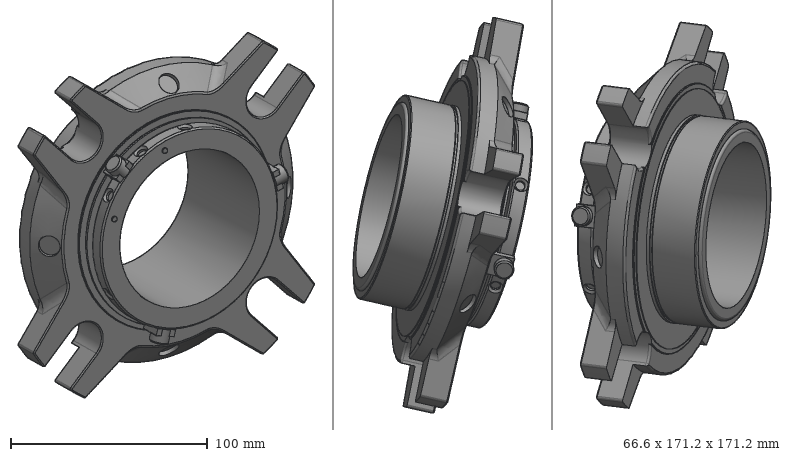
import cadquery as cq
import math

BORE_R = 84.99 / 2
SLEEVE_R = 88.88 / 2

NOSE_R = 98.4 / 2
NOSE_FILLET = 1.5
BARREL_R = 106.35 / 2
BARREL_START_X = 1.6
BARREL_END_X = 25.6
BARREL_CHAMFER = 0.5
RELIEF_R = 52.5
NECK_R = 106.68 / 2
NECK_START_X = 26.6

RAISED_FACE_R = 133.35 / 2
RAISED_FACE_X = 28.3
RAISED_BASE_R = 69.4
RAISED_BASE_X = 28.8
RAISED_BASE_CHAMFER = 0.4

FLANGE_R = 80.2
FLANGE_FRONT_X = 29.5
FLANGE_TAPER_X = 39.8
FLANGE_BACK_X = 52.0
FLANGE_BACK_R = FLANGE_R - (FLANGE_BACK_X - FLANGE_TAPER_X)
FLANGE_EDGE_FILLET = 1.2

LUG_COUNT = 4
LUG_STEP = 360 / LUG_COUNT
LUG_START_ANGLE = 45
LUG_FRONT_X = 37.4
LUG_TIP_R = 101.5
LUG_TIP_HALF_WIDTH = 22.0
LUG_FLARE_ANGLE = 8.5
LUG_ROOT_R = 55.0
LUG_ROOT_FILLET = 6.4
LUG_CORNER_FILLET = 1.1
LUG_BACK_CHAMFER = 0.7
SLOT_R = 10.9
SLOT_CENTRE_R = 77.8

PORT_DIAMETER = 11.25
PORT_X = 47.0
PORT_DEPTH = 2.3
PORT_CUTTER_LENGTH = 3 * PORT_DEPTH

EDGE_TOLERANCE = 0.01
MIN_LONG_EDGE = 1.0
EDGE_R_MARGIN = 0.5

HUB_R = 59.0
HUB_END_X = 53.1
HUB_CHAMFER = 0.4
STEP_R = 109.86 / 2
STEP_END_X = 54.4
RING_R = 111.38 / 2
RING_END_X = 55.6

COLLAR_R = 54.1
COLLAR_START_X = 57.4
COLLAR_END_X = 65.9
COLLAR_CHAMFER = 0.9
BOLT_X = 61.59

SCREW_HOLE_DIAMETER = 5.0
SCREW_SINK_DIAMETER = 7.6
SCREW_HOLE_DEPTH = 2.5
SCREW_HOLE_ANGLES = [30, 90, 120, 150, 210, 270, 330]
PIN_DIAMETER = 2.98
PIN_CIRCLE_R = 48.5
PIN_SPREAD_ANGLE = 26.6

CLIP_COUNT = 3
CLIP_FIRST_ANGLE = 15
CLIP_STEP = 360 / CLIP_COUNT
CLIP_ANGLES = [CLIP_FIRST_ANGLE + i * CLIP_STEP for i in range(CLIP_COUNT)]
CLIP_OUTER_R = 57.7
CLIP_INNER_R = 54.0
CLIP_FOOT_R = 51.7
CLIP_WIDTH = 11.3
CLIP_START_X = 54.1
FOOT_START_X = HUB_END_X
FOOT_END_X = 57.0
HEAD_DIAMETER = 10.0
HEAD_TOP_R = 62.2
HEAD_CHAMFER = 0.8


def turned(profile):
    """Revolve a closed list of (x, radius) points about the X axis."""
    return cq.Workplane("XY").polyline(profile).close().revolve(360, (0, 0, 0), (1, 0, 0))


def turn_about_axis(body, angle):
    """Rotate a body about X; angle 0 points to +Y and 90 to +Z."""
    return body.rotate((0, 0, 0), (1, 0, 0), angle)


def disc(start_x, end_x, radius, chamfer=0):
    """Solid disc between two stations, with optional chamfered rims."""
    body = cq.Workplane("YZ", origin=(start_x, 0, 0)).circle(radius).extrude(end_x - start_x)
    if chamfer:
        body = body.edges().chamfer(chamfer)
    return body


def radial_cylinder(x, inner_r, outer_r, diameter):
    """Cylinder pointing along +Y between two radii."""
    plane = cq.Plane(origin=(x, inner_r, 0), xDir=(1, 0, 0), normal=(0, 1, 0))
    return cq.Workplane(plane).circle(diameter / 2).extrude(outer_r - inner_r)


def distance_from_axis(point):
    """Radius of a point measured from the shaft axis."""
    return math.hypot(point.y, point.z)


def lug_pad():
    """Tapered pad along +Y with a tip rounded about the shaft axis."""
    flare = math.tan(math.radians(LUG_FLARE_ANGLE))
    root_half_width = LUG_TIP_HALF_WIDTH + (LUG_TIP_R - LUG_ROOT_R) * flare
    length = FLANGE_BACK_X - LUG_FRONT_X
    wedge = (
        cq.Workplane("YZ", origin=(LUG_FRONT_X, 0, 0))
        .polyline(
            [
                (LUG_ROOT_R, -root_half_width),
                (LUG_TIP_R, -LUG_TIP_HALF_WIDTH),
                (LUG_TIP_R, LUG_TIP_HALF_WIDTH),
                (LUG_ROOT_R, root_half_width),
            ]
        )
        .close()
        .extrude(length)
    )
    return wedge.intersect(disc(LUG_FRONT_X, FLANGE_BACK_X, LUG_TIP_R))


def lug_slot():
    """Round-ended bolt slot along +Y, open at the lug tip."""
    length = FLANGE_BACK_X
    round_end = cq.Workplane("YZ").center(SLOT_CENTRE_R, 0).circle(SLOT_R).extrude(length)
    slot_length = LUG_TIP_R
    channel = (
        cq.Workplane("YZ")
        .center(SLOT_CENTRE_R + slot_length / 2, 0)
        .rect(slot_length, 2 * SLOT_R)
        .extrude(length)
    )
    return round_end.union(channel)


def port_cutter():
    """Cylinder entering the tapered back square to its surface, in the XY plane."""
    surface_r = FLANGE_R - (PORT_X - FLANGE_TAPER_X)
    plane = cq.Plane(origin=(PORT_X, surface_r, 0), xDir=(0, 0, 1), normal=(1, 1, 0))
    return (
        cq.Workplane(plane)
        .workplane(offset=-PORT_DEPTH)
        .circle(PORT_DIAMETER / 2)
        .extrude(PORT_CUTTER_LENGTH)
    )


def is_lug_root(edge):
    """Concave edge where a lug flank meets the flange rim."""
    runs_along_x = edge.BoundingBox().xlen > MIN_LONG_EDGE
    return runs_along_x and distance_from_axis(edge.Center()) < FLANGE_R + EDGE_R_MARGIN


def is_lug_tip_corner(edge):
    """Corner at the lug tip, parallel to the shaft axis."""
    runs_along_x = edge.BoundingBox().xlen > MIN_LONG_EDGE
    return runs_along_x and distance_from_axis(edge.Center()) > LUG_TIP_R - EDGE_R_MARGIN


def is_lug_back_rim(edge):
    """Rim of a lug back face, outside the flange rim."""
    box = edge.BoundingBox()
    on_back = box.xlen < EDGE_TOLERANCE and abs(box.xmin - FLANGE_BACK_X) < EDGE_TOLERANCE
    return on_back and distance_from_axis(edge.Center()) > FLANGE_R + EDGE_R_MARGIN


def pick(body, test):
    """Select the edges of a body that pass a test."""
    return body.newObject([edge for edge in body.edges().vals() if test(edge)])


def flange():
    body = turned(
        [
            (FLANGE_FRONT_X, 0),
            (FLANGE_FRONT_X, FLANGE_R),
            (FLANGE_TAPER_X, FLANGE_R),
            (FLANGE_BACK_X, FLANGE_BACK_R),
            (FLANGE_BACK_X, 0),
        ]
    )
    for i in range(LUG_COUNT):
        body = body.union(turn_about_axis(lug_pad(), i * LUG_STEP))
    body = pick(body, is_lug_root).fillet(LUG_ROOT_FILLET)
    for i in range(LUG_COUNT):
        body = body.cut(turn_about_axis(lug_slot(), i * LUG_STEP))
    body = body.faces("<X").edges().fillet(FLANGE_EDGE_FILLET)
    for i in range(LUG_COUNT):
        body = body.cut(turn_about_axis(port_cutter(), (i + 0.5) * LUG_STEP))
    body = pick(body, is_lug_tip_corner).fillet(LUG_CORNER_FILLET)
    body = pick(body, is_lug_back_rim).chamfer(LUG_BACK_CHAMFER)
    return body


def raised_face():
    """Two-step disc on the flange front, cut back by the bolt slots."""
    base = disc(RAISED_BASE_X, FLANGE_FRONT_X + FLANGE_EDGE_FILLET, RAISED_BASE_R)
    base = base.faces("<X").edges().chamfer(RAISED_BASE_CHAMFER)
    body = base.union(disc(RAISED_FACE_X, RAISED_BASE_X, RAISED_FACE_R))
    for i in range(LUG_COUNT):
        body = body.cut(turn_about_axis(lug_slot(), i * LUG_STEP))
    return body


def barrel():
    nose = disc(0, BARREL_START_X, NOSE_R).faces("<X").edges().fillet(NOSE_FILLET)
    pilot = disc(BARREL_START_X, BARREL_END_X, BARREL_R, BARREL_CHAMFER)
    relief = disc(BARREL_END_X, NECK_START_X, RELIEF_R)
    neck = disc(NECK_START_X, RAISED_FACE_X, NECK_R)
    return nose.union(pilot).union(relief).union(neck)


def back_steps():
    hub = disc(FLANGE_BACK_X, HUB_END_X, HUB_R).faces(">X").edges().chamfer(HUB_CHAMFER)
    step = disc(HUB_END_X, STEP_END_X, STEP_R)
    retaining_ring = disc(STEP_END_X, RING_END_X, RING_R)
    sleeve = disc(RING_END_X, COLLAR_END_X, SLEEVE_R)
    return hub.union(step).union(retaining_ring).union(sleeve)


def screw_hole():
    """Countersunk blind hole along +Y in the collar rim, with a 45 degree sink."""
    hole_r = SCREW_HOLE_DIAMETER / 2
    sink_r = SCREW_SINK_DIAMETER / 2
    sink_bottom_r = COLLAR_R - (sink_r - hole_r)
    profile = [
        (BOLT_X, COLLAR_R - SCREW_HOLE_DEPTH),
        (BOLT_X + hole_r, COLLAR_R - SCREW_HOLE_DEPTH),
        (BOLT_X + hole_r, sink_bottom_r),
        (BOLT_X + sink_r, COLLAR_R),
        (BOLT_X, COLLAR_R),
    ]
    return cq.Workplane("XY").polyline(profile).close().revolve(360, (BOLT_X, 0, 0), (BOLT_X, 1, 0))


def collar():
    body = disc(COLLAR_START_X, COLLAR_END_X, COLLAR_R, COLLAR_CHAMFER)
    for angle in SCREW_HOLE_ANGLES:
        body = body.cut(turn_about_axis(screw_hole(), angle))
    pin_end_x = BOLT_X + HEAD_DIAMETER / 2
    pin = (
        cq.Workplane("YZ", origin=(BOLT_X, 0, 0))
        .center(PIN_CIRCLE_R, 0)
        .circle(PIN_DIAMETER / 2)
        .extrude(pin_end_x - BOLT_X)
    )
    for side in (-1, 1):
        body = body.union(turn_about_axis(pin, CLIP_ANGLES[1] + side * PIN_SPREAD_ANGLE))
    return body


def clip_block(start_x, end_x, inner_r, outer_r):
    """Block of the clip width along +Y, between two stations and two heights."""
    block = cq.Workplane("XY").box(
        end_x - start_x, outer_r - inner_r, CLIP_WIDTH, centered=(False, False, True)
    )
    return block.translate((start_x, inner_r, 0))


def clip():
    """Flat clip along +Y with an inward foot and a bolt head on top."""
    arm = clip_block(CLIP_START_X, COLLAR_END_X, CLIP_INNER_R, CLIP_OUTER_R)
    foot = clip_block(FOOT_START_X, FOOT_END_X, CLIP_FOOT_R, CLIP_INNER_R)
    head = radial_cylinder(BOLT_X, CLIP_INNER_R, HEAD_TOP_R, HEAD_DIAMETER)
    head = head.faces(">Y").edges().chamfer(HEAD_CHAMFER)
    return arm.union(foot).union(head)


flange_body = turn_about_axis(flange().union(raised_face()), LUG_START_ANGLE)
result = flange_body.union(barrel()).union(back_steps()).union(collar())
for clip_angle in CLIP_ANGLES:
    result = result.union(turn_about_axis(clip(), clip_angle))
result = result.cut(disc(0, COLLAR_END_X, BORE_R))